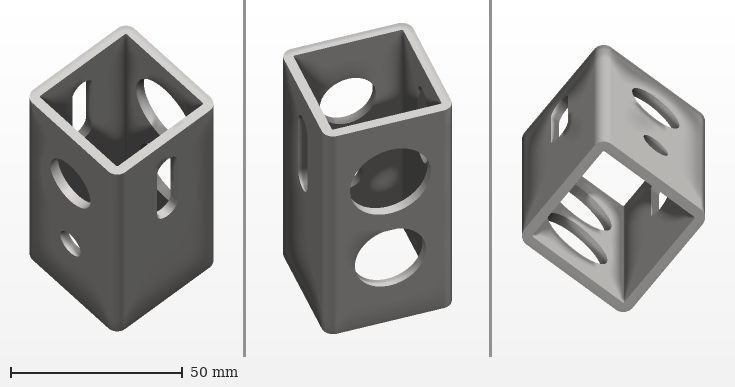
import cadquery as cq

height = 78.0
width = 40.0
wall = 3.05
outer_radius = 3.5
inner_radius = outer_radius - wall

upper_height = 55.0
lower_height = 25.0

front_upper_diameter = 17.5
front_lower_diameter = 9.0
back_upper_diameter = 25.0
back_lower_diameter = 22.0

slot_length = 28.0
slot_width = 8.0


def square_bar(side, corner_radius):
    """Square bar of full height with rounded vertical edges."""
    return cq.Workplane("XY").rect(side, side).extrude(height).edges("|Z").fillet(corner_radius)


def wall_hole(diameter, hole_height, side):
    """Cutter along Y from the tube axis through one wall: side is -1 for front, +1 for back."""
    profile = cq.Workplane("XZ").center(0, hole_height).circle(diameter / 2)
    return profile.extrude(-side * width / 2)


def upright_slot():
    """Cutter along X through the two side walls."""
    profile = cq.Workplane("YZ").center(0, upper_height).slot2D(slot_length, slot_width, 90)
    return profile.extrude(width / 2, both=True)


tube = square_bar(width, outer_radius).cut(square_bar(width - 2 * wall, inner_radius))

result = (
    tube.cut(wall_hole(front_upper_diameter, upper_height, -1))
    .cut(wall_hole(front_lower_diameter, lower_height, -1))
    .cut(wall_hole(back_upper_diameter, upper_height, 1))
    .cut(wall_hole(back_lower_diameter, lower_height, 1))
    .cut(upright_slot())
)